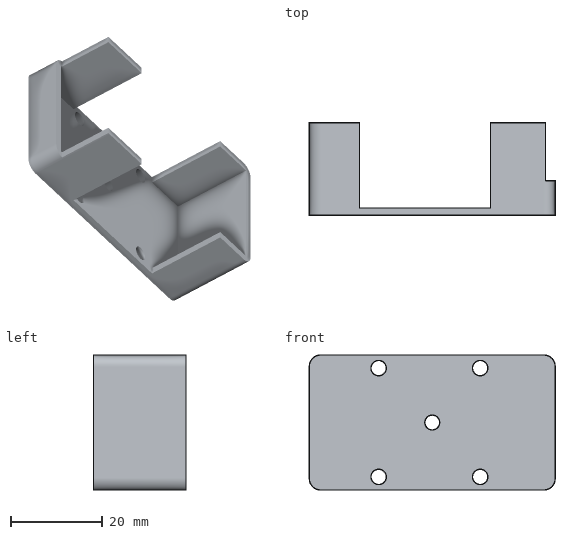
import cadquery as cq

LENGTH = 53.85
DEPTH = 20.32
HEIGHT = 29.59
WALL = 1.65
CORNER_RADIUS = 2.54

NOTCH_WIDTH = 28.575
NOTCH_FROM_LEFT = 11.05

END_WALL_DEPTH = 7.62
END_CUT = 2.1

MOUNT_HOLE_DIAMETER = 3.3
MOUNT_SPACING_X = 22.22
MOUNT_SPACING_Z = 23.8
MOUNT_OFFSET_X = -0.62
CENTER_HOLE_DIAMETER = 3.2

FRONT_Y = -DEPTH / 2
LEFT_X = -LENGTH / 2
RIGHT_X = LENGTH / 2
PLATE_BACK_Y = FRONT_Y + WALL


def block(x_start, x_end, y_start, y_end, height):
    """Box between the given X and Y limits, centred on Z = 0."""
    size_x = x_end - x_start
    size_y = y_end - y_start
    center = ((x_start + x_end) / 2, (y_start + y_end) / 2, 0)
    return cq.Workplane("XY").box(size_x, size_y, height).translate(center)


def open_box():
    """Rounded box with uniform walls, open towards +Y."""
    outer = block(LEFT_X, RIGHT_X, FRONT_Y, DEPTH / 2, HEIGHT).edges("|Y").fillet(CORNER_RADIUS)
    cavity = block(LEFT_X + WALL, RIGHT_X - WALL, PLATE_BACK_Y, DEPTH / 2, HEIGHT - 2 * WALL)
    return outer.cut(cavity)


def top_bottom_notch():
    """Block that clears the top and bottom walls behind the mounting plate."""
    notch_left = LEFT_X + NOTCH_FROM_LEFT
    return block(notch_left, notch_left + NOTCH_WIDTH, PLATE_BACK_Y, DEPTH / 2, HEIGHT)


def right_end_cut():
    """Block that clears the right wall behind its front stretch."""
    return block(RIGHT_X - END_CUT, RIGHT_X, FRONT_Y + END_WALL_DEPTH, DEPTH / 2, HEIGHT)


def plate_holes(diameter, centers):
    """Cylinders along Y through the mounting plate at (x, z) centers."""
    plane = cq.Plane(origin=(0, PLATE_BACK_Y, 0), xDir=(1, 0, 0), normal=(0, -1, 0))
    return cq.Workplane(plane).pushPoints(centers).circle(diameter / 2).extrude(WALL)


mount_centers = [
    (MOUNT_OFFSET_X + side_x * MOUNT_SPACING_X / 2, side_z * MOUNT_SPACING_Z / 2)
    for side_x in (-1, 1)
    for side_z in (-1, 1)
]

result = (
    open_box()
    .cut(top_bottom_notch())
    .cut(right_end_cut())
    .cut(plate_holes(MOUNT_HOLE_DIAMETER, mount_centers))
    .cut(plate_holes(CENTER_HOLE_DIAMETER, [(0, 0)]))
)